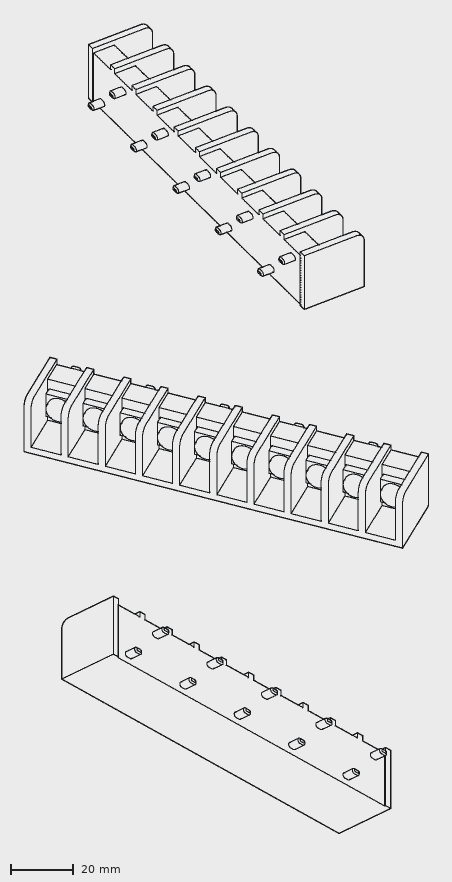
import cadquery as cq


length = 129.5
height = 21.6
end_plate_depth = 22.5
front_setback = 0.4
cell_count = 10
wall_thickness = 2.5
wall_corner_radius = 3.0
block_height = 19.7
block_rear = 8.2
shelf_thickness = 2.6
pitch = (length - wall_thickness) / cell_count

clamp_width = 9.3
clamp_thickness = 2.7
clamp_height = clamp_width
clamp_center_z = (shelf_thickness + block_height) / 2
head_diameter = 8.2
head_height = 2.5
head_edge_radius = 1.3

pin_width = 3.2
pin_thickness = 2.0
pin_length = 4.5
pin_tip_chamfer = 0.5
lower_pin_z = 3.1
pin_row_spacing = 13.1


def wall(center_x, front_y):
    """Upright wall across the housing, rounded at the upper rear corner."""
    depth = end_plate_depth - front_y
    return (
        cq.Workplane("XY")
        .box(wall_thickness, depth, height, centered=(True, False, False))
        .edges("|X and >Y and >Z")
        .fillet(wall_corner_radius)
        .translate((center_x, front_y, 0))
    )


def housing():
    """Block and shelf in profile, run between the outer walls."""
    span = length - wall_thickness
    body = (
        cq.Workplane("YZ", origin=(-span / 2, 0, 0))
        .moveTo(front_setback, 0)
        .lineTo(end_plate_depth, 0)
        .lineTo(end_plate_depth, shelf_thickness)
        .lineTo(block_rear, shelf_thickness)
        .lineTo(block_rear, block_height)
        .lineTo(front_setback, block_height)
        .close()
        .extrude(span)
    )
    for index in range(cell_count + 1):
        is_end = index in (0, cell_count)
        front_y = 0 if is_end else front_setback
        body = body.union(wall(index * pitch - span / 2, front_y))
    return body


def clamp():
    """Square clamp plate with a round-edged screw head, standing on Y = 0."""
    plate = cq.Workplane("XY").box(
        clamp_width, clamp_thickness, clamp_height, centered=(True, False, True)
    )
    head = (
        cq.Workplane("XZ", origin=(0, clamp_thickness, 0))
        .circle(head_diameter / 2)
        .extrude(-head_height)
        .faces(">Y")
        .edges()
        .fillet(head_edge_radius)
    )
    return plate.union(head)


def pin():
    """Flat pin with round sides and a chamfered tip, pointing to -Y from Y = 0."""
    return (
        cq.Workplane("XZ")
        .slot2D(pin_width, pin_thickness)
        .extrude(pin_length)
        .faces("<Y")
        .chamfer(pin_tip_chamfer)
    )


result = housing()
for cell in range(cell_count):
    cell_x = (cell - (cell_count - 1) / 2) * pitch
    pin_z = lower_pin_z + (cell % 2) * pin_row_spacing
    result = result.union(clamp().translate((cell_x, block_rear, clamp_center_z)))
    result = result.union(pin().translate((cell_x, front_setback, pin_z)))